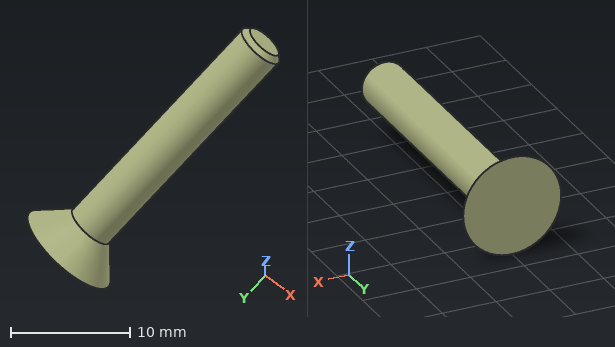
import cadquery as cq
import math

overall_length = 25.4
head_diameter = 9.12
shank_diameter = 4.17
head_cone_angle = 82.0
tip_chamfer = 0.5

head_radius = head_diameter / 2
shank_radius = shank_diameter / 2
tip_radius = shank_radius - tip_chamfer
head_height = (head_radius - shank_radius) / math.tan(math.radians(head_cone_angle / 2))


def make_screw():
    """Revolve the half profile (radius along X) about the Y axis."""
    half_profile = [
        (0, 0),
        (head_radius, 0),
        (shank_radius, -head_height),
        (shank_radius, -overall_length + tip_chamfer),
        (tip_radius, -overall_length),
        (0, -overall_length),
    ]
    axis_start = (0, 0, 0)
    axis_end = (0, 1, 0)
    return cq.Workplane("XY").polyline(half_profile).close().revolve(360, axis_start, axis_end)


result = make_screw()